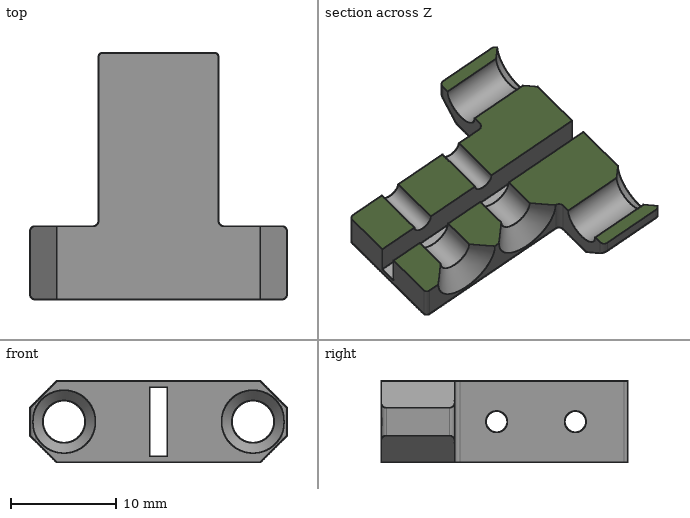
import cadquery as cq

thickness = 7.75
flange_width = 24.5
flange_depth = 7.0
total_depth = 23.5
stem_width = 11.45
flange_bevel = 2.55
corner_radius = 0.5
stem_end_radius = 0.4

slot_width = 1.65
slot_height = 6.55

mount_spacing = 18.0
mount_diameter = 4.0
mount_sink_diameter = 6.0
mount_sink_depth = (mount_sink_diameter - mount_diameter) / 2

clamp_positions = (11.0, 18.5)
clamp_clearance_diameter = 3.5
clamp_tap_diameter = 2.0
clamp_sink_diameter = 7.0
clamp_sink_depth = (clamp_sink_diameter - clamp_clearance_diameter) / 2

X_DIR = cq.Vector(1, 0, 0)
Y_DIR = cq.Vector(0, 1, 0)


def make_body():
    flange = (
        cq.Workplane("XY")
        .box(flange_width, flange_depth, thickness, centered=(True, False, True))
        .edges("|Z")
        .fillet(corner_radius)
    )
    stem = (
        cq.Workplane("XY")
        .box(stem_width, total_depth, thickness, centered=(True, False, True))
        .edges("|Z and >Y")
        .fillet(stem_end_radius)
    )
    inner_corners = cq.selectors.BoxSelector(
        (-stem_width / 2 - corner_radius, flange_depth - corner_radius, -thickness),
        (stem_width / 2 + corner_radius, flange_depth + corner_radius, thickness),
    )
    body = flange.union(stem).edges("|Z").edges(inner_corners).fillet(corner_radius)
    return body.intersect(make_bevelled_profile())


def make_bevelled_profile():
    return (
        cq.Workplane("XY")
        .box(flange_width, total_depth, thickness, centered=(True, False, True))
        .edges("|Y")
        .chamfer(flange_bevel)
    )


def make_slot():
    return cq.Workplane("XY").box(slot_width, total_depth, slot_height, centered=(True, False, True))


def make_countersunk_hole(start, direction, diameter, length, sink_diameter, sink_depth):
    shank = cq.Solid.makeCylinder(diameter / 2, length, start, direction)
    sink = cq.Solid.makeCone(sink_diameter / 2, diameter / 2, sink_depth, start, direction)
    return cq.Workplane(obj=shank.fuse(sink))


def make_mount_hole(x):
    return make_countersunk_hole(
        cq.Vector(x, 0, 0), Y_DIR, mount_diameter, flange_depth, mount_sink_diameter, mount_sink_depth
    )


def make_clamp_hole(y):
    start = cq.Vector(-stem_width / 2, y, 0)
    clearance_length = (stem_width + slot_width) / 2
    clearance = make_countersunk_hole(
        start, X_DIR, clamp_clearance_diameter, clearance_length, clamp_sink_diameter, clamp_sink_depth
    )
    tap = cq.Solid.makeCylinder(clamp_tap_diameter / 2, stem_width, start, X_DIR)
    return clearance.union(cq.Workplane(obj=tap))


result = make_body().cut(make_slot())
for mount_x in (-mount_spacing / 2, mount_spacing / 2):
    result = result.cut(make_mount_hole(mount_x))
for clamp_y in clamp_positions:
    result = result.cut(make_clamp_hole(clamp_y))